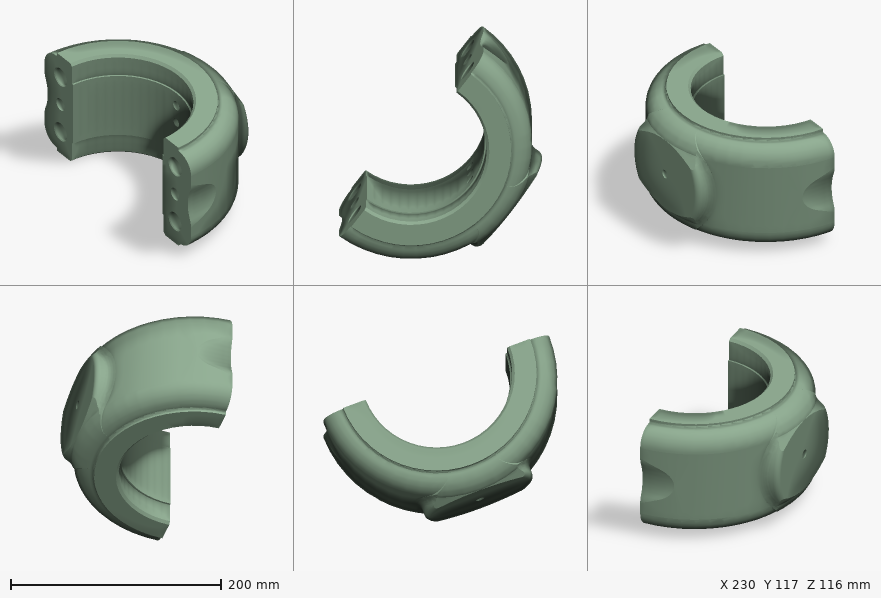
import cadquery as cq
import math

outer_radius = 115.0
body_half_height = 54.0
land_radius = 95.2
land_half_height = 58.0
land_root_fillet = 1.8
corner_radius = outer_radius - land_radius - land_root_fillet
bore_radius = 70.2
bore_half_height = 35.0
relief_radius = 72.0
bore_chamfer = 2.5

boss_radius = 55.0
boss_top = 117.0
boss_edge_fillet = 5.0
boss_root_fillet = 9.2
boss_corner_radius = 20.5
boss_side_slope = 55.0

scallop_depth = 5.0
scallop_radius = 44.0
scallop_half_width = 24.8

bolt_x = 90.0
bolt_z = 32.5
bolt_diameter = 18.5
bolt_mouth_diameter = 20.2
bolt_depth = 39.0
drill_tip_angle = 118.0
dowel_diameter = 13.0
dowel_depth = 18.5

oil_hole_diameter = 8.7
pin_hole_diameter = 10.0
pin_hole_z = 20.0
pin_hole_depth = 11.5


def y_cylinder(radius, start, end, x=0, z=0):
    """Cylinder along +Y from y = start to y = end."""
    base = cq.Plane(origin=(x, start, z), xDir=(1, 0, 0), normal=(0, 1, 0))
    return cq.Workplane(base).circle(radius).extrude(end - start)


def arc_point(center_x, center_y, radius, degrees):
    """Point on a circle at the given angle."""
    angle = math.radians(degrees)
    return center_x + radius * math.cos(angle), center_y + radius * math.sin(angle)


def both_ends(upper_half):
    """Join a shape above the XY plane with its mirror image below it."""
    return upper_half.union(upper_half.mirror("XY"))


def rounded_ring():
    """Half ring with rounded outer corners, raised lands and a stepped, chamfered bore."""
    corner_x = outer_radius - corner_radius
    corner_z = body_half_height - corner_radius
    root_z = body_half_height + land_root_fillet
    upper_half = (
        cq.Workplane("XZ")
        .moveTo(bore_radius, 0)
        .lineTo(outer_radius, 0)
        .lineTo(outer_radius, corner_z)
        .threePointArc(arc_point(corner_x, corner_z, corner_radius, 45), (corner_x, body_half_height))
        .threePointArc(arc_point(corner_x, root_z, land_root_fillet, 225), (land_radius, root_z))
        .lineTo(land_radius, land_half_height)
        .lineTo(relief_radius + bore_chamfer, land_half_height)
        .lineTo(relief_radius, land_half_height - bore_chamfer)
        .lineTo(relief_radius, bore_half_height)
        .lineTo(bore_radius, bore_half_height)
        .close()
        .revolve(180, (0, 0, 0), (0, 1, 0))
    )
    return both_ends(upper_half)


def boss():
    """Round boss with a blended root, trimmed to the rounded end faces."""
    core = cq.Workplane("XY").circle(outer_radius).extrude(land_half_height, both=True)
    pad = y_cylinder(boss_radius, bore_radius, boss_top).faces(">Y").edges().fillet(boss_edge_fillet)
    reach = boss_radius + boss_root_fillet
    root_zone = cq.selectors.BoxSelector(
        (-reach, relief_radius, -reach),
        (reach, boss_top - boss_edge_fillet, reach),
    )
    blended = core.union(pad).edges(root_zone).fillet(boss_root_fillet)

    corner_x = outer_radius - corner_radius
    corner_z = body_half_height - boss_corner_radius
    side_angle = math.degrees(math.acos((boss_top - corner_x) / boss_corner_radius))
    side_x, side_z = arc_point(corner_x, corner_z, boss_corner_radius, side_angle)
    trim_radius = math.hypot(boss_top, boss_radius)
    side_drop = (trim_radius - side_x) * math.tan(math.radians(boss_side_slope))
    upper_trim = (
        cq.Workplane("XZ")
        .moveTo(relief_radius, 0)
        .lineTo(trim_radius, 0)
        .lineTo(trim_radius, side_z - side_drop)
        .lineTo(side_x, side_z)
        .threePointArc(
            arc_point(corner_x, corner_z, boss_corner_radius, (side_angle + 90) / 2),
            (corner_x, body_half_height),
        )
        .lineTo(relief_radius, body_half_height)
        .close()
        .revolve(180, (0, 0, 0), (0, 1, 0))
    )
    footprint = y_cylinder(boss_radius + boss_root_fillet / 2, relief_radius, boss_top)
    return blended.intersect(both_ends(upper_trim)).intersect(footprint)


def flank_scallop():
    """Cutter for the +X flank: a hollow arc that blends smoothly into the flank on both sides."""
    center_distance = (scallop_half_width ** 2 + scallop_depth ** 2) / (2 * scallop_depth)
    blend_radius = center_distance - scallop_radius
    hollow_x = outer_radius - scallop_depth + scallop_radius
    blend_x = outer_radius - blend_radius
    blend_angle = math.degrees(math.asin(scallop_half_width / center_distance))
    touch = arc_point(blend_x, -scallop_half_width, blend_radius, blend_angle)
    blend_mid = arc_point(blend_x, -scallop_half_width, blend_radius, blend_angle / 2)
    return (
        cq.Workplane("XZ")
        .moveTo(outer_radius, -scallop_half_width)
        .threePointArc(blend_mid, touch)
        .threePointArc((hollow_x - scallop_radius, 0), (touch[0], -touch[1]))
        .threePointArc((blend_mid[0], -blend_mid[1]), (outer_radius, scallop_half_width))
        .close()
        .extrude(-outer_radius)
    )


def bolt_hole(x, z):
    """Blind drilled hole with a chamfered mouth and a conical tip."""
    radius = bolt_diameter / 2
    mouth_radius = bolt_mouth_diameter / 2
    tip_length = radius / math.tan(math.radians(drill_tip_angle / 2))
    return (
        cq.Workplane("XY")
        .lineTo(mouth_radius, 0)
        .lineTo(radius, mouth_radius - radius)
        .lineTo(radius, bolt_depth)
        .lineTo(0, bolt_depth + tip_length)
        .close()
        .revolve(360, (0, 0, 0), (0, 1, 0))
        .translate((x, 0, z))
    )


result = rounded_ring().union(boss())

for side in (-1, 1):
    scallop = flank_scallop()
    result = result.cut(scallop if side > 0 else scallop.mirror("YZ"))
    result = result.cut(y_cylinder(dowel_diameter / 2, 0, dowel_depth, side * bolt_x))
    for end in (-1, 1):
        result = result.cut(bolt_hole(side * bolt_x, end * bolt_z))

result = result.cut(y_cylinder(oil_hole_diameter / 2, 0, boss_top))
for end in (-1, 1):
    pin_hole = y_cylinder(pin_hole_diameter / 2, 0, bore_radius + pin_hole_depth, z=end * pin_hole_z)
    result = result.cut(pin_hole)